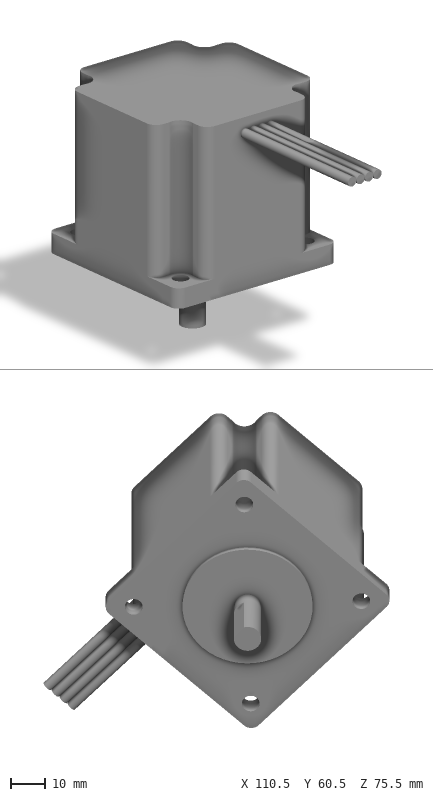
import cadquery as cq
import math


frame_size = 60.5
motor_length = 54.5
flange_thickness = 6.4
flange_corner_radius = 3.0

relief_depth = 10.66
screw_clearance_radius = 4.1
relief_outer_radius = 3.4

hole_spacing = 47.14
hole_diameter = 5.2

pilot_diameter = 38.1
pilot_height = 1.5
shaft_diameter = 8.0
shaft_tip_z = -21.0
round_shaft_length = 4.6
flat_depth = 0.6

wire_count = 4
wire_diameter = 3.0
wire_pitch = 3.2
wire_length = 50.0
wire_drop = 5.0
wire_root = 1.0

half_frame = frame_size / 2
hole_offset = hole_spacing / 2


def make_corner_relief():
    """Cutter for the +X +Y corner: a square notch whose inner corner is an arc around the hole."""
    wall = half_frame - relief_depth
    arc_reach = math.sqrt(screw_clearance_radius**2 - (hole_offset - wall) ** 2)
    arc_end = hole_offset + arc_reach
    arc_middle = hole_offset - screw_clearance_radius * math.sqrt(0.5)
    return (
        cq.Workplane("XY", origin=(0, 0, flange_thickness))
        .moveTo(half_frame, half_frame)
        .lineTo(half_frame, wall)
        .lineTo(arc_end, wall)
        .threePointArc((arc_middle, arc_middle), (wall, arc_end))
        .lineTo(wall, half_frame)
        .close()
        .extrude(motor_length - flange_thickness)
    )


def make_housing():
    """Square block above the flange with its four vertical corners relieved."""
    housing = (
        cq.Workplane("XY", origin=(0, 0, flange_thickness))
        .rect(frame_size, frame_size)
        .extrude(motor_length - flange_thickness)
    )
    relief = make_corner_relief()
    for angle in (0, 90, 180, 270):
        housing = housing.cut(relief.rotate((0, 0, 0), (0, 0, 1), angle))
    for side in (">X", "<X", ">Y", "<Y"):
        housing = housing.faces(side).edges("|Z").fillet(relief_outer_radius)
    return housing


def make_flange():
    """Square mounting flange with rounded corners and four through holes."""
    return (
        cq.Workplane("XY")
        .rect(frame_size, frame_size)
        .extrude(flange_thickness)
        .edges("|Z")
        .fillet(flange_corner_radius)
        .faces(">Z")
        .workplane()
        .rect(hole_spacing, hole_spacing, forConstruction=True)
        .vertices()
        .hole(hole_diameter)
    )


def make_pilot():
    """Shallow centring boss under the flange."""
    return cq.Workplane("XY").circle(pilot_diameter / 2).extrude(-pilot_height)


def make_shaft():
    """Output shaft with a flat on its +Y side, running to the tip."""
    shaft_radius = shaft_diameter / 2
    flat_length = -shaft_tip_z - pilot_height - round_shaft_length
    shaft = cq.Workplane("XY").circle(shaft_radius).extrude(shaft_tip_z)
    flat_cut = cq.Workplane("XY", origin=(0, shaft_radius - flat_depth, shaft_tip_z)).box(
        shaft_diameter, shaft_diameter, flat_length, centered=(True, False, False)
    )
    return shaft.cut(flat_cut)


def make_wires():
    """Row of lead wires leaving the +X side."""
    first_y = -(wire_count - 1) * wire_pitch / 2
    centers = [(first_y + i * wire_pitch, motor_length - wire_drop) for i in range(wire_count)]
    return (
        cq.Workplane("YZ", origin=(half_frame - wire_root, 0, 0))
        .pushPoints(centers)
        .circle(wire_diameter / 2)
        .extrude(wire_root + wire_length)
    )


result = (
    make_flange()
    .union(make_housing())
    .union(make_pilot())
    .union(make_shaft())
    .union(make_wires())
)